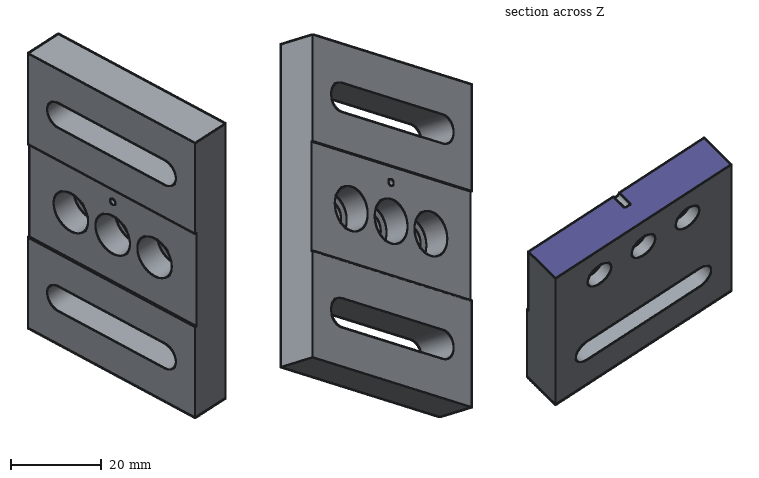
import cadquery as cq

width = 50.0
thickness = 10.0
height = 75.0

channel_height = 25.4
channel_depth = 0.4

slot_width = 6.75
slot_centre_travel = 31.7
slot_offset = 25.0

screw_hole_diameter = 6.7
counterbore_diameter = 10.3
counterbore_depth = 6.5
screw_hole_pitch = 12.5
screw_hole_count = 3

pin_hole_diameter = 1.6
pin_hole_depth = 4.0
pin_hole_offset = 9.0

front_y = -thickness / 2
channel_floor_y = front_y + channel_depth


def sketch_plane(y):
    """Plane parallel to XZ at the given Y, with its normal along -Y."""
    return cq.Workplane("XZ", origin=(0, y, 0))


def make_plate():
    return cq.Workplane("XY").box(width, thickness, height)


def make_channel():
    return sketch_plane(front_y).rect(width, channel_height).extrude(-channel_depth)


def make_slots():
    return (
        sketch_plane(front_y)
        .pushPoints([(0, slot_offset), (0, -slot_offset)])
        .slot2D(slot_centre_travel + slot_width, slot_width)
        .extrude(-thickness)
    )


def make_screw_holes():
    row = sketch_plane(channel_floor_y).rarray(screw_hole_pitch, 1, screw_hole_count, 1)
    through_holes = row.circle(screw_hole_diameter / 2).extrude(-thickness)
    counterbores = row.circle(counterbore_diameter / 2).extrude(-counterbore_depth)
    return through_holes.union(counterbores)


def make_pin_hole():
    return (
        sketch_plane(channel_floor_y)
        .center(0, pin_hole_offset)
        .circle(pin_hole_diameter / 2)
        .extrude(-pin_hole_depth)
    )


result = (
    make_plate()
    .cut(make_channel())
    .cut(make_slots())
    .cut(make_screw_holes())
    .cut(make_pin_hole())
)